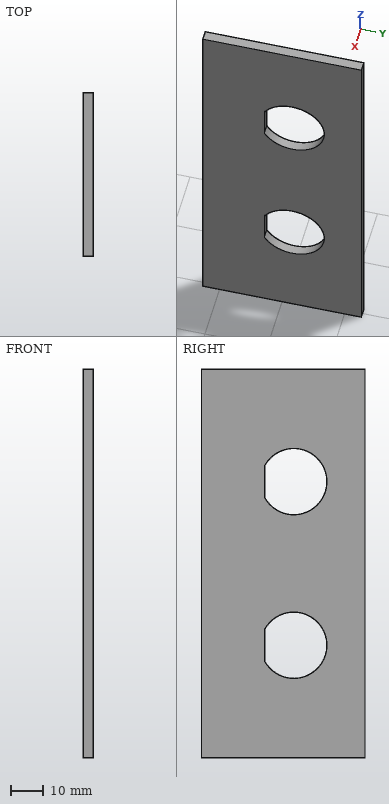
import cadquery as cq

thickness = 3.1
width = 50.8
height = 120.6

hole_diameter = 20.5
hole_spacing = 50.8
hole_offset_y = 3.3
flat_distance = 8.9


def d_hole_cutter(center_z):
    """Cylinder along X with its -Y side cut flat."""
    radius = hole_diameter / 2
    cylinder = cq.Workplane("YZ").circle(radius).extrude(thickness / 2, both=True)
    kept_width = radius + flat_distance
    kept_side = cq.Workplane("XY").box(thickness, kept_width, hole_diameter).translate(
        (0, kept_width / 2 - flat_distance, 0)
    )
    return cylinder.intersect(kept_side).translate((0, hole_offset_y, center_z))


result = cq.Workplane("XY").box(thickness, width, height)
for center_z in (-hole_spacing / 2, hole_spacing / 2):
    result = result.cut(d_hole_cutter(center_z))